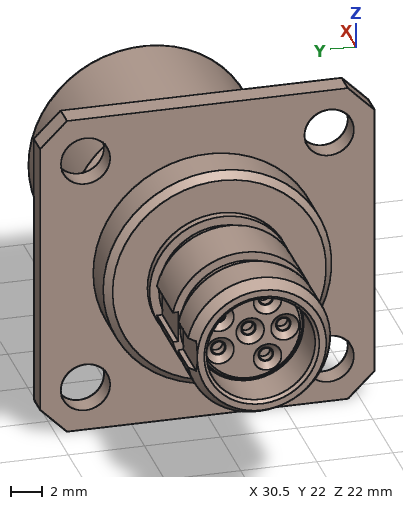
import cadquery as cq
import math

TIP_CHAMFER_END = 0.85
TIP_EDGE_START = 3.3
TIP_BAND_END = 3.45
MAIN_BAND_START = 4.65
MAIN_BAND_END = 8.6
COLLAR_START = 9.95
DISC_START = 10.5
FLANGE_START = 13.45
FLANGE_END = 15.0
NECK_CONE_END = 15.28
NECK_END = 18.2
REAR_BODY_START = 20.05
REAR_CHAMFER_START = 29.52
LENGTH = 30.5

TIP_RADIUS = 4.25
BARREL_RADIUS = 4.73
BAND_EDGE = 0.1
FRONT_GROOVE_RADIUS = 4.15
REAR_GROOVE_RADIUS = 4.12
BODY_RADIUS = 7.5
DISC_CHAMFER = 0.5
NECK_RADIUS = 5.65
NECK_ROOT_RADIUS = 5.8
REAR_TIP_RADIUS = 6.95

FLANGE_SIDE = 22.0
FLANGE_CORNER = 1.77
MOUNT_HOLE_DIAMETER = 3.23
MOUNT_HOLE_SPACING = 16.0

SLOT_WIDTH = 2.07
SLOT_FLOOR = 4.25

BORE_RADIUS = 3.57
BORE_CHAMFER = 0.2
BORE_DEPTH = 2.87
FACE_RADIUS = 3.3
FACE_CHAMFER = 0.18

SOCKET_CIRCLE_RADIUS = 2.3
SOCKET_ANGLES = (30, 120, 180, 240, 330)
SOCKET_MOUTH_RADIUS = 0.9
SOCKET_CONE_DEPTH = 0.43
SOCKET_SEAT_RADIUS = SOCKET_MOUTH_RADIUS - SOCKET_CONE_DEPTH
SOCKET_HOLE_RADIUS = 0.43
SOCKET_DEPTH = 1.05


def revolve_about_x(points):
    """Revolve a closed (x, radius) outline about the X axis."""
    return cq.Workplane("XY").polyline(points).close().revolve(360, (0, 0, 0), (1, 0, 0))


def turned_body():
    return revolve_about_x([
        (0, 0),
        (0, TIP_RADIUS),
        (TIP_CHAMFER_END, BARREL_RADIUS),
        (TIP_EDGE_START, BARREL_RADIUS),
        (TIP_BAND_END, BARREL_RADIUS - BAND_EDGE),
        (TIP_BAND_END, FRONT_GROOVE_RADIUS),
        (MAIN_BAND_START, FRONT_GROOVE_RADIUS),
        (MAIN_BAND_START, BARREL_RADIUS),
        (MAIN_BAND_END, BARREL_RADIUS),
        (MAIN_BAND_END, REAR_GROOVE_RADIUS),
        (COLLAR_START, REAR_GROOVE_RADIUS),
        (COLLAR_START, BARREL_RADIUS),
        (DISC_START, BARREL_RADIUS),
        (DISC_START, BODY_RADIUS - DISC_CHAMFER),
        (DISC_START + DISC_CHAMFER, BODY_RADIUS),
        (FLANGE_START, BODY_RADIUS),
        (FLANGE_END, BODY_RADIUS),
        (FLANGE_END, NECK_ROOT_RADIUS),
        (NECK_CONE_END, NECK_RADIUS),
        (NECK_END, NECK_RADIUS),
        (REAR_BODY_START, BODY_RADIUS),
        (REAR_CHAMFER_START, BODY_RADIUS),
        (LENGTH, REAR_TIP_RADIUS),
        (LENGTH, 0),
    ])


def flange():
    plate = (
        cq.Workplane("YZ", origin=(FLANGE_START, 0, 0))
        .rect(FLANGE_SIDE, FLANGE_SIDE)
        .extrude(FLANGE_END - FLANGE_START)
        .edges("|X")
        .chamfer(FLANGE_CORNER)
    )
    holes = (
        cq.Workplane("YZ", origin=(FLANGE_START, 0, 0))
        .rect(MOUNT_HOLE_SPACING, MOUNT_HOLE_SPACING, forConstruction=True)
        .vertices()
        .circle(MOUNT_HOLE_DIAMETER / 2)
        .extrude(FLANGE_END - FLANGE_START)
    )
    return plate.cut(holes)


def key_slot():
    return (
        cq.Workplane("XY", origin=(0, SLOT_FLOOR, 0))
        .box(MAIN_BAND_END, BARREL_RADIUS - SLOT_FLOOR, SLOT_WIDTH, centered=(False, False, True))
    )


def bore():
    """Chamfered bore ending at a contact face whose rim is bevelled back to a narrow ledge."""
    return revolve_about_x([
        (0, 0),
        (0, BORE_RADIUS + BORE_CHAMFER),
        (BORE_CHAMFER, BORE_RADIUS),
        (BORE_DEPTH + FACE_CHAMFER, BORE_RADIUS),
        (BORE_DEPTH + FACE_CHAMFER, FACE_RADIUS + FACE_CHAMFER),
        (BORE_DEPTH, FACE_RADIUS),
        (BORE_DEPTH, 0),
    ])


def socket(y, z):
    """Countersunk blind contact hole in the contact face, centred at (y, z)."""
    profile = revolve_about_x([
        (0, 0),
        (0, SOCKET_MOUTH_RADIUS),
        (SOCKET_CONE_DEPTH, SOCKET_SEAT_RADIUS),
        (SOCKET_CONE_DEPTH, SOCKET_HOLE_RADIUS),
        (SOCKET_DEPTH, SOCKET_HOLE_RADIUS),
        (SOCKET_DEPTH, 0),
    ])
    return profile.translate((BORE_DEPTH, y, z))


result = turned_body().union(flange()).cut(key_slot()).cut(bore()).cut(socket(0, 0))
for angle in SOCKET_ANGLES:
    socket_y = SOCKET_CIRCLE_RADIUS * math.cos(math.radians(angle))
    socket_z = SOCKET_CIRCLE_RADIUS * math.sin(math.radians(angle))
    result = result.cut(socket(socket_y, socket_z))